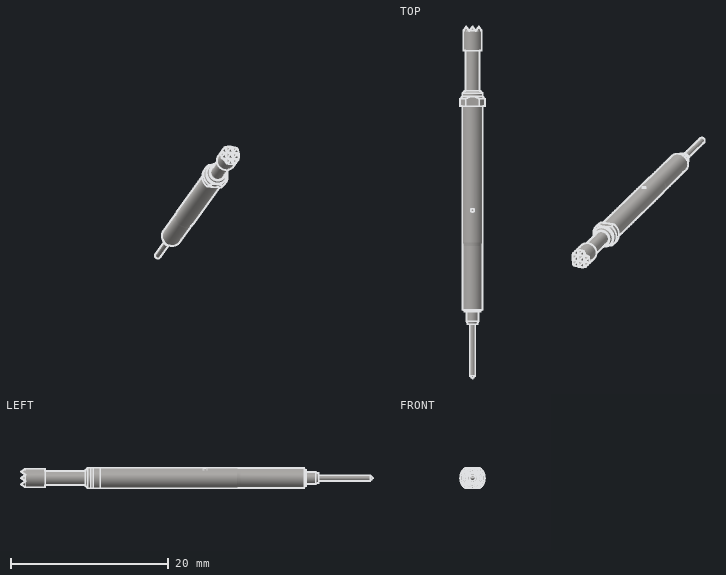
import cadquery as cq

length = 44.8
head_end = length / 2

head_radius = 1.185
neck_radius = 0.92
collar_lip_radius = 1.05
body_radius = 1.32
flange_radius = 1.59
rear_radius = 1.275
step_radius = 1.05
boss_radius = 0.785
boss_lip_radius = 0.74
boss_end_radius = 0.63
pin_radius = 0.38

head_back = 3.1
collar_front = 8.2
collar_shoulder = 8.5
flange_front = 8.9
flange_rim = 9.25
flange_back = 10.12
rear_taper_start = 27.5
rear_taper_end = 27.9
body_back = 36.0
step_taper_end = 36.15
step_back = 36.3
boss_taper = 37.5
boss_back = 37.9
pin_shoulder = length - pin_radius

tooth_pitch = 0.8
tooth_height = 0.6
teeth_across = 3

vent_distance = 23.4
vent_diameter = 0.45
vent_depth = 0.25


def turned_probe():
    """Solid of revolution for the whole probe, with a plain flat head end."""
    stations = [
        (0, 0),
        (head_radius, 0),
        (head_radius, head_back),
        (neck_radius, head_back),
        (neck_radius, collar_front),
        (collar_lip_radius, collar_front),
        (body_radius, collar_shoulder),
        (body_radius, flange_front),
        (flange_radius, flange_rim),
        (flange_radius, flange_back),
        (body_radius, flange_back),
        (body_radius, rear_taper_start),
        (rear_radius, rear_taper_end),
        (rear_radius, body_back),
        (step_radius, step_taper_end),
        (step_radius, step_back),
        (boss_radius, step_back),
        (boss_radius, boss_taper),
        (boss_lip_radius, boss_taper),
        (boss_end_radius, boss_back),
        (pin_radius, boss_back),
        (pin_radius, pin_shoulder),
        (0, length),
    ]
    outline = [(radius, head_end - distance) for radius, distance in stations]
    return cq.Workplane("XY").polyline(outline).close().revolve(360, (0, 0, 0), (0, 1, 0))


def flange_flats():
    """Blocks that trim the flange flush with the body at +Z and -Z."""
    trim = flange_radius - body_radius
    middle = head_end - (flange_front + flange_back) / 2
    offset = body_radius + trim / 2
    block = cq.Workplane("XY").box(2 * flange_radius, flange_back - flange_front, trim)
    return block.translate((0, middle, offset)).union(block.translate((0, middle, -offset)))


def crown_grooves():
    """Parallel V grooves along Z, one on each side of every row of points."""
    root = head_end - tooth_height
    grooves = cq.Workplane("XY")
    for row in range(teeth_across + 1):
        x = (row - teeth_across / 2) * tooth_pitch
        grooves = (
            grooves.moveTo(x, root)
            .lineTo(x + tooth_pitch / 2, head_end)
            .lineTo(x - tooth_pitch / 2, head_end)
            .close()
        )
    return grooves.extrude(head_radius, both=True)


def vent_hole():
    """Shallow round hole in the top of the body."""
    return (
        cq.Workplane("XY", origin=(0, head_end - vent_distance, body_radius - vent_depth))
        .circle(vent_diameter / 2)
        .extrude(2 * vent_depth)
    )


grooves = crown_grooves()
crossing_grooves = grooves.rotate((0, 0, 0), (0, 1, 0), 90)

result = (
    turned_probe()
    .cut(flange_flats())
    .cut(vent_hole())
    .cut(grooves)
    .cut(crossing_grooves)
)